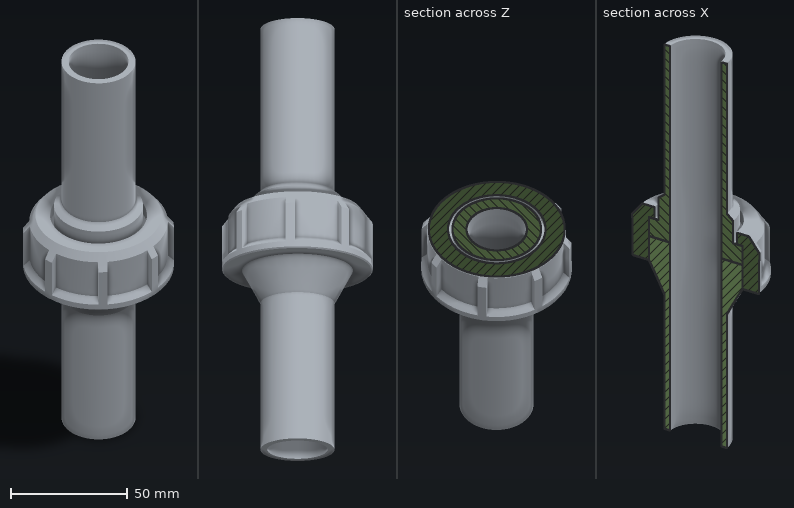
import cadquery as cq

total_length = 190.0
pipe_radius = 16.0
bore_radius = 13.0

nut_radius = 32.5
nut_bottom = 81.0
nut_top = 108.1
nut_top_radius = 27.2
nut_chamfer_height = 6.8
nut_bottom_chamfer = 0.5
nut_opening_radius = 20.9
nut_lip_thickness = 5.7
nut_bore_radius = 24.0

rib_count = 8
rib_width = 4.0
relief_radius = 29.8
relief_bottom = 84.0
relief_slope_height = 2.7
cut_margin = 1.9

cone_bottom = 66.1
joint_height = 93.1
collar_radius = 19.2
collar_top = 115.9
collar_chamfer_height = 2.7

lip_bottom = nut_top - nut_lip_thickness


def revolve_profile(points):
    """Turn a closed (radius, height) outline about the Z axis."""
    return cq.Workplane("XZ").polyline(points).close().revolve(360, (0, 0), (0, 1))


def make_lower_tailpiece():
    """Pipe that flares through a cone to the threaded end inside the nut."""
    return revolve_profile([
        (bore_radius, 0),
        (pipe_radius, 0),
        (pipe_radius, cone_bottom),
        (nut_bore_radius, nut_bottom),
        (nut_bore_radius, joint_height),
        (bore_radius, joint_height),
    ])


def make_upper_tailpiece():
    """Pipe with a chamfered collar and a flange held under the nut lip."""
    return revolve_profile([
        (bore_radius, joint_height),
        (nut_bore_radius, joint_height),
        (nut_bore_radius, lip_bottom),
        (collar_radius, lip_bottom),
        (collar_radius, collar_top - collar_chamfer_height),
        (pipe_radius, collar_top),
        (pipe_radius, total_length),
        (bore_radius, total_length),
    ])


def make_grip_relief():
    """Ring of material removed between the ribs, with a sloping floor."""
    slope_run = nut_radius - relief_radius
    margin_rise = cut_margin * relief_slope_height / slope_run
    outer_radius = nut_radius + cut_margin
    ring = revolve_profile([
        (relief_radius, relief_bottom + relief_slope_height),
        (outer_radius, relief_bottom - margin_rise),
        (outer_radius, nut_top),
        (relief_radius, nut_top),
    ])
    for index in range(rib_count):
        rib = (
            cq.Workplane("XY")
            .box(outer_radius + cut_margin, rib_width, total_length, centered=(False, True, False))
            .rotate((0, 0, 0), (0, 0, 1), index * 360 / rib_count)
        )
        ring = ring.cut(rib)
    return ring


def make_nut():
    """Union nut with a retaining lip, a conical shoulder and grip ribs."""
    blank = revolve_profile([
        (nut_bore_radius, nut_bottom),
        (nut_radius - nut_bottom_chamfer, nut_bottom),
        (nut_radius, nut_bottom + nut_bottom_chamfer),
        (nut_radius, nut_top - nut_chamfer_height),
        (nut_top_radius, nut_top),
        (nut_opening_radius, nut_top),
        (nut_opening_radius, lip_bottom),
        (nut_bore_radius, lip_bottom),
    ])
    return blank.cut(make_grip_relief())


lower_tailpiece = make_lower_tailpiece()
upper_tailpiece = make_upper_tailpiece()
nut = make_nut()

result = cq.Compound.makeCompound([lower_tailpiece.val(), upper_tailpiece.val(), nut.val()])